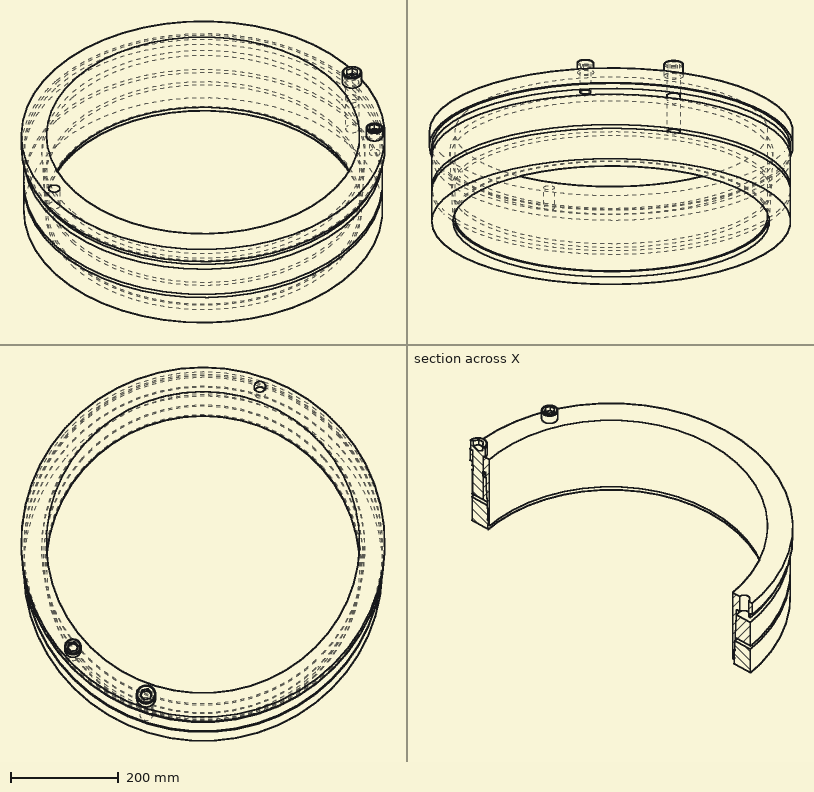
import cadquery as cq
import math

TOTAL_HEIGHT = 202.0
CLAMP_RING_HEIGHT = 60.0
LOWER_GAP = 7.5
UPPER_GAP = 11.5
SLEEVE_BOTTOM = 11.0
STEP_HEIGHT = 10.0

FLANGE_DIAMETER = 674.0
RING_DIAMETER = 665.0
BORE_DIAMETER = 580.0

CONE_TOP_RADIUS = 300.0
CONE_HALF_ANGLE = 2.8

CLAMP_SCREW_SHANK = 24.0
CLAMP_SCREW_HEAD = 36.0
CLAMP_SCREW_SOCKET = 19.0
JACK_SCREW_SHANK = 20.0
JACK_SCREW_HEAD = 30.0
JACK_SCREW_SOCKET = 17.0
HEAD_CHAMFER = 2.0
SOCKET_DEPTH_RATIO = 0.5
SOCKET_TIP_ANGLE = 120.0

BOLT_CIRCLE_RADIUS = 317.5
CLAMP_SCREW_ANGLE = 90.0
JACK_SCREW_ANGLE = 60.0
OPEN_HOLE_ANGLE = 270.0
OPEN_HOLE_DIAMETER = 21.0

middle_ring_bottom = CLAMP_RING_HEIGHT + LOWER_GAP
middle_ring_top = middle_ring_bottom + CLAMP_RING_HEIGHT
flange_bottom = middle_ring_top + UPPER_GAP
step_top = flange_bottom + STEP_HEIGHT
flange_top = TOTAL_HEIGHT - CLAMP_SCREW_SHANK


def cone_radius(z):
    """Radius of the shared cone at height z."""
    return CONE_TOP_RADIUS - (flange_bottom - z) * math.tan(math.radians(CONE_HALF_ANGLE))


def revolve_profile(points):
    """Turn a closed (radius, height) outline around the Z axis."""
    return cq.Workplane("XZ").polyline(points).close().revolve(360, (0, 0), (0, 1))


def bolt_circle_point(angle):
    """Point on the bolt circle at the given angle."""
    radians = math.radians(angle)
    return BOLT_CIRCLE_RADIUS * math.cos(radians), BOLT_CIRCLE_RADIUS * math.sin(radians)


def vertical_pin(angle, diameter, bottom, top):
    """Round bar on the bolt circle, used for shanks and as a hole cutter."""
    x, y = bolt_circle_point(angle)
    return cq.Workplane("XY", origin=(x, y, bottom)).circle(diameter / 2).extrude(top - bottom)


def make_clamp_ring(bottom):
    """Ring with a cylindrical outside and a conical bore that fits the sleeve."""
    top = bottom + CLAMP_RING_HEIGHT
    return revolve_profile([
        (cone_radius(bottom), bottom),
        (RING_DIAMETER / 2, bottom),
        (RING_DIAMETER / 2, top),
        (cone_radius(top), top),
    ])


def make_flanged_sleeve():
    """Conical sleeve with a stepped flange and holes for the screws."""
    sleeve = revolve_profile([
        (BORE_DIAMETER / 2, SLEEVE_BOTTOM),
        (cone_radius(SLEEVE_BOTTOM), SLEEVE_BOTTOM),
        (CONE_TOP_RADIUS, flange_bottom),
        (RING_DIAMETER / 2, flange_bottom),
        (RING_DIAMETER / 2, step_top),
        (FLANGE_DIAMETER / 2, step_top),
        (FLANGE_DIAMETER / 2, flange_top),
        (BORE_DIAMETER / 2, flange_top),
    ])
    holes = [
        (CLAMP_SCREW_ANGLE, CLAMP_SCREW_SHANK),
        (JACK_SCREW_ANGLE, JACK_SCREW_SHANK),
        (OPEN_HOLE_ANGLE, OPEN_HOLE_DIAMETER),
    ]
    for angle, diameter in holes:
        sleeve = sleeve.cut(vertical_pin(angle, diameter, flange_bottom, flange_top))
    return sleeve


def make_socket_cutter(across_flats, depth):
    """Hexagonal socket with a conical floor, opening upwards at z = 0."""
    hexagon = (
        cq.Workplane("XY")
        .polygon(6, across_flats, circumscribed=True)
        .extrude(-depth)
    )
    tip_radius = across_flats / 2
    tip_depth = tip_radius / math.tan(math.radians(SOCKET_TIP_ANGLE / 2))
    tip = revolve_profile([(0, -depth), (tip_radius, -depth), (0, -depth - tip_depth)])
    return hexagon.union(tip)


def make_screw(angle, shank_diameter, head_diameter, socket_width, shank_bottom):
    """Socket head screw with its head resting on the flange."""
    x, y = bolt_circle_point(angle)
    head_height = shank_diameter
    head = (
        cq.Workplane("XY", origin=(x, y, flange_top))
        .circle(head_diameter / 2)
        .extrude(head_height)
        .faces(">Z")
        .edges()
        .chamfer(HEAD_CHAMFER)
    )
    socket = make_socket_cutter(socket_width, SOCKET_DEPTH_RATIO * head_height)
    socket = socket.translate((x, y, flange_top + head_height))
    shank = vertical_pin(angle, shank_diameter, shank_bottom, flange_top)
    return head.union(shank).cut(socket)


flanged_sleeve = make_flanged_sleeve()

lower_ring, middle_ring = [make_clamp_ring(bottom) for bottom in (0, middle_ring_bottom)]
middle_ring = middle_ring.cut(
    vertical_pin(CLAMP_SCREW_ANGLE, CLAMP_SCREW_SHANK, middle_ring_bottom, middle_ring_top)
)

clamp_screw = make_screw(
    CLAMP_SCREW_ANGLE, CLAMP_SCREW_SHANK, CLAMP_SCREW_HEAD, CLAMP_SCREW_SOCKET, middle_ring_bottom
)
jack_screw = make_screw(
    JACK_SCREW_ANGLE, JACK_SCREW_SHANK, JACK_SCREW_HEAD, JACK_SCREW_SOCKET, flange_bottom
)

result = cq.Compound.makeCompound([
    flanged_sleeve.val(),
    lower_ring.val(),
    middle_ring.val(),
    clamp_screw.val(),
    jack_screw.val(),
])